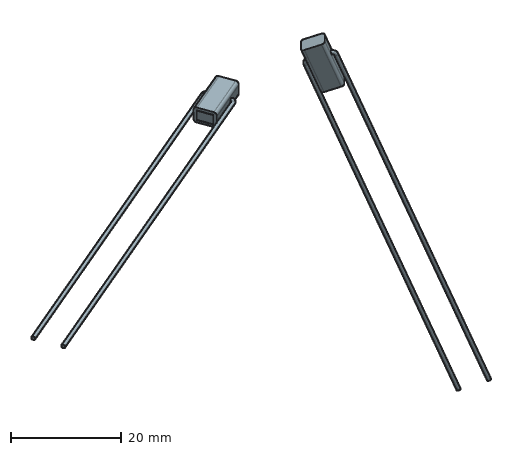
import cadquery as cq

total_length = 81.2
lead_span = 6.7

body_width = 4.6
body_length = 10.0
body_height = 3.5
body_edge_radius = 0.65

panel_width = 3.25
panel_height = 2.2
panel_rise = 0.12

lead_diameter = 0.8
lead_setback = 3.0
lead_embed = 0.4

back_y = total_length / 2
front_y = back_y - body_length
lead_tip_y = -total_length / 2
lead_x = (lead_span - lead_diameter) / 2
lead_root_y = back_y - lead_setback - lead_diameter / 2
bend_radius = lead_x - body_width / 2


def bar_along_y(width, height, start_y, end_y):
    """Centred rectangular bar running along Y from start_y to end_y."""
    length = end_y - start_y
    return cq.Workplane("XY").box(width, length, height).translate((0, (start_y + end_y) / 2, 0))


def make_body():
    bar = bar_along_y(body_width, body_height, front_y, back_y)
    bar = bar.edges("|Y").fillet(body_edge_radius)
    panel = bar_along_y(panel_width, panel_height, front_y - panel_rise, back_y - body_length / 2)
    return bar.union(panel)


def make_lead():
    """Lead on the +X side: root inside the body, quarter bend, straight run to the tip."""
    bend_start_x = lead_x - bend_radius
    bend_end_y = lead_root_y - bend_radius
    path = (
        cq.Workplane("XY")
        .moveTo(lead_x, lead_tip_y)
        .lineTo(lead_x, bend_end_y)
        .tangentArcPoint((bend_start_x, lead_root_y), relative=False)
        .lineTo(bend_start_x - lead_embed, lead_root_y)
    )
    section = cq.Workplane("XZ", origin=(lead_x, lead_tip_y, 0)).circle(lead_diameter / 2)
    return section.sweep(path)


right_lead = make_lead()
left_lead = right_lead.mirror("YZ")
result = make_body().union(right_lead).union(left_lead)